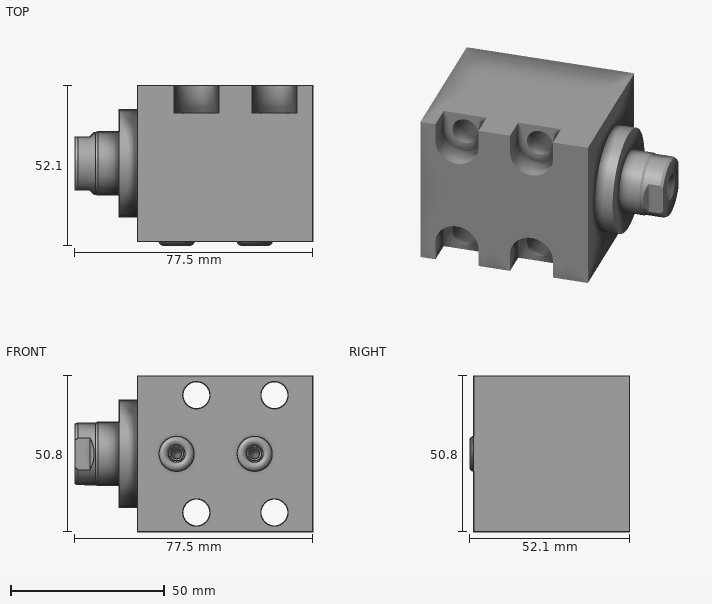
import cadquery as cq
import math

block_length = 57.1
block_side = 50.8
half_side = block_side / 2

overall_length = 77.5
collar_diameter = 35.0
collar_length = 6.0
shaft_radius = 10.34
tip_radius = 10.1
tip_length = 6.8
tip_taper_length = 0.7
tip_chamfer_length = 1.0
tip_chamfer_depth = 0.4
tip_x = block_length - overall_length

flats_width = 17.3
flat_length = 4.9

bore_radius = 3.4
bore_mouth_radius = 4.4
bore_taper_radius = 4.0
bore_chamfer_depth = 0.7
bore_taper_end = 2.1
bore_depth = 15.5

hole_pitch_x = 25.4
hole_pitch_z = 38.2
first_hole_x = 19.2
hole_diameter = 8.75
seat_width = 14.65
seat_depth = 9.0

first_port_x = 12.8
ring_outer_radius = 5.7
ring_tube_radius = 1.51
ring_protrusion = 1.25
ring_center_radius = ring_outer_radius - ring_tube_radius
ring_center_depth = ring_tube_radius - ring_protrusion
port_mouth_radius = 2.25
port_bore_radius = 1.6
port_depth = 9.3
drill_half_angle = math.radians(59)


def make_shaft():
    """Revolve the collar and stepped shaft about the X axis."""
    tip_end = tip_x + tip_length
    profile = [
        (0, 0),
        (tip_x, 0),
        (tip_x, tip_radius - tip_chamfer_depth),
        (tip_x + tip_chamfer_length, tip_radius),
        (tip_end, tip_radius),
        (tip_end + tip_taper_length, shaft_radius),
        (-collar_length, shaft_radius),
        (-collar_length, collar_diameter / 2),
        (0, collar_diameter / 2),
    ]
    return cq.Workplane("XY").polyline(profile).close().revolve(360, (0, 0, 0), (1, 0, 0))


def make_flat_cutter(side):
    """Material removed beside the tip; side is +1 for +Y and -1 for -Y."""
    inner = flats_width / 2
    outer = collar_diameter / 2
    flat_end = tip_x + flat_length
    profile = [
        (tip_x, side * inner),
        (flat_end, side * inner),
        (flat_end + outer - inner, side * outer),
        (tip_x, side * outer),
    ]
    return cq.Workplane("XY").polyline(profile).close().extrude(shaft_radius, both=True)


def make_bore():
    """Blind bore entered through a mouth chamfer and a longer taper."""
    profile = [
        (tip_x, 0),
        (tip_x, bore_mouth_radius),
        (tip_x + bore_chamfer_depth, bore_taper_radius),
        (tip_x + bore_taper_end, bore_radius),
        (tip_x + bore_depth, bore_radius),
        (tip_x + bore_depth, 0),
    ]
    return cq.Workplane("XY").polyline(profile).close().revolve(360, (0, 0, 0), (1, 0, 0))


def make_mounting_cutter(x, side):
    """Through hole and U-shaped seat open to the +Z (side 1) or -Z (side -1) face."""
    z = side * hole_pitch_z / 2
    slot_height = half_side - abs(z)
    front = cq.Workplane("XZ", origin=(x, half_side, z))
    hole = front.circle(hole_diameter / 2).extrude(block_side)
    seat = front.circle(seat_width / 2).extrude(seat_depth)
    opening = (
        front.center(0, side * slot_height / 2)
        .rect(seat_width, slot_height)
        .extrude(seat_depth)
    )
    return hole.union(seat).union(opening)


def revolve_at_port(sketch):
    """Revolve a closed profile about its local Y axis, the port axis."""
    return sketch.revolve(360, (0, 0, 0), (0, 1, 0))


def port_plane(x):
    """XY workplane at a port, with its origin on the -Y face of the block."""
    return cq.Workplane("XY", origin=(x, -half_side, 0))


def make_ring(x):
    """Sealing ring, partly sunk into the block face."""
    return revolve_at_port(
        port_plane(x).moveTo(ring_center_radius, ring_center_depth).circle(ring_tube_radius)
    )


def make_port_cutter(x):
    """Recess inside the ring, then a tapered mouth and a drilled blind bore."""
    bore_start = ring_center_depth + port_mouth_radius - port_bore_radius
    point_depth = port_depth + port_bore_radius / math.tan(drill_half_angle)
    profile = [
        (0, 0),
        (ring_center_radius, 0),
        (ring_center_radius, ring_center_depth),
        (port_mouth_radius, ring_center_depth),
        (port_bore_radius, bore_start),
        (port_bore_radius, port_depth),
        (0, point_depth),
    ]
    return revolve_at_port(port_plane(x).polyline(profile).close())


result = cq.Workplane("XY").box(block_length, block_side, block_side, centered=(False, True, True))
result = result.union(make_shaft()).cut(make_bore())

for side in (1, -1):
    result = result.cut(make_flat_cutter(side))

for column in range(2):
    column_offset = column * hole_pitch_x
    for side in (1, -1):
        result = result.cut(make_mounting_cutter(first_hole_x + column_offset, side))
    port_x = first_port_x + column_offset
    result = result.cut(make_port_cutter(port_x)).union(make_ring(port_x))